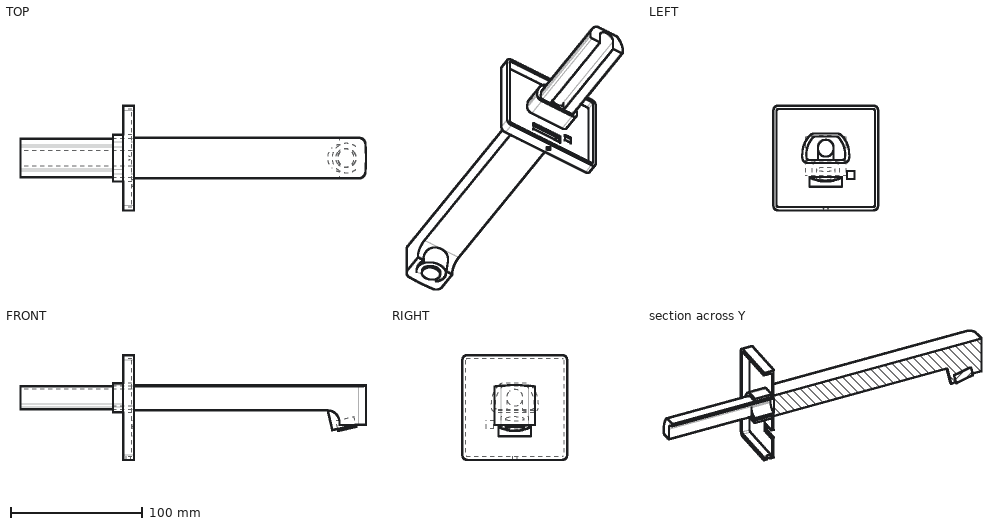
import cadquery as cq
import math


OVERALL_LENGTH = 263.5

FLANGE_SIDE = 80.0
FLANGE_THICKNESS = 8.5
FLANGE_CORNER_RADIUS = 4.0
FLANGE_LIP = 2.6
RECESS_DEPTH = 6.3
RECESS_CORNER_RADIUS = FLANGE_CORNER_RADIUS - FLANGE_LIP
FLOOR_THICKNESS = FLANGE_THICKNESS - RECESS_DEPTH
DRAIN_SLOT_WIDTH = 24.5
DRAIN_SLOT_HEIGHT = 7.0
DRAIN_SLOT_Z = -18.2
POCKET_WIDTH = 5.5
POCKET_HEIGHT = 6.3
POCKET_DEPTH = 1.0
POCKET_Y = -19.0
POCKET_Z = -13.0
LIP_HOLE_DIAMETER = 3.2
LIP_HOLE_X = 4.0

SHANK_LENGTH = 78.3
SHANK_TOP = 16.3
SHANK_BOTTOM = -1.3
SHANK_HALF_WIDTH = 14.8
SHANK_SIDE_RADIUS = 19.0
SHANK_TOP_FILLET = 2.0
SHANK_BOTTOM_FILLET = 1.5
COLLAR_LENGTH = 8.0
COLLAR_TOP = 18.7
COLLAR_BOTTOM = -3.7
COLLAR_HALF_WIDTH = 18.0
COLLAR_SIDE_RADIUS = 20.5
COLLAR_TOP_FILLET = 5.0
COLLAR_BOTTOM_FILLET = 4.2
SIDE_ARC_Z = 3.0

CHANNEL_WIDTH = 11.9
CHANNEL_TOP = 14.0
WATERWAY_BOTTOM = 1.0

SPOUT_REACH = OVERALL_LENGTH - SHANK_LENGTH
SPOUT_WIDTH = 31.0
SPOUT_CROWN = 17.0
SPOUT_TOP_EDGE = 16.0
SPOUT_UNDERSIDE = -2.0
SPOUT_NOSE_BOTTOM = -13.2
SPOUT_NOSE_BACK = 165.0
SPOUT_COVE_RADIUS = 9.2
SPOUT_CORNER_RADIUS = 5.3
SPOUT_END_BULGE = 0.8

OUTLET_TILT = 13
OUTLET_X = 170.5
OUTLET_Z = -14.8
OUTLET_RADIUS = 11.3
OUTLET_LENGTH = 17.0
AERATOR_RADIUS = 7.0
AERATOR_LENGTH = 8.0
AERATOR_PROTRUSION = 1.5


def yz_plane(x):
    """Sketch plane across the shank: local x is +Y, local y is +Z, normal is +X."""
    return cq.Workplane("YZ", origin=(x, 0, 0))


def arched_bar(x_start, length, top, bottom, half_width, side_radius, top_fillet, bottom_fillet):
    """Bar with a flat top and bottom whose upper sides are arcs tangent to the upright lower sides."""
    arc_centre = half_width - side_radius
    top_y = arc_centre + math.sqrt(side_radius**2 - (top - SIDE_ARC_Z)**2)
    half_angle = math.asin((top - SIDE_ARC_Z) / side_radius) / 2
    mid_y = arc_centre + side_radius * math.cos(half_angle)
    mid_z = SIDE_ARC_Z + side_radius * math.sin(half_angle)
    bar = (
        yz_plane(x_start)
        .moveTo(-top_y, top)
        .lineTo(top_y, top)
        .threePointArc((mid_y, mid_z), (half_width, SIDE_ARC_Z))
        .lineTo(half_width, bottom)
        .lineTo(-half_width, bottom)
        .lineTo(-half_width, SIDE_ARC_Z)
        .threePointArc((-mid_y, mid_z), (-top_y, top))
        .close()
        .extrude(length)
    )
    bar = bar.edges("|X and >Z").fillet(top_fillet)
    return bar.edges("|X and <Z").fillet(bottom_fillet)


def shank_bar():
    """Shank envelope from its rear end to the spout's rear face."""
    return arched_bar(
        -SHANK_LENGTH, SHANK_LENGTH + FLANGE_THICKNESS, SHANK_TOP, SHANK_BOTTOM,
        SHANK_HALF_WIDTH, SHANK_SIDE_RADIUS, SHANK_TOP_FILLET, SHANK_BOTTOM_FILLET,
    )


def make_shank():
    """Shank with a round-topped channel open below, then a waterway up to the spout."""
    channel_radius = CHANNEL_WIDTH / 2
    channel_length = SHANK_LENGTH - COLLAR_LENGTH
    arc_z = CHANNEL_TOP - channel_radius
    channel = (
        yz_plane(-SHANK_LENGTH)
        .moveTo(-channel_radius, SHANK_BOTTOM)
        .lineTo(-channel_radius, arc_z)
        .threePointArc((0, CHANNEL_TOP), (channel_radius, arc_z))
        .lineTo(channel_radius, SHANK_BOTTOM)
        .close()
        .extrude(channel_length)
    )
    waterway = (
        yz_plane(-COLLAR_LENGTH)
        .center(0, (CHANNEL_TOP + WATERWAY_BOTTOM) / 2)
        .slot2D(CHANNEL_TOP - WATERWAY_BOTTOM, CHANNEL_WIDTH, 90)
        .extrude(COLLAR_LENGTH + FLANGE_THICKNESS)
    )
    return shank_bar().cut(channel).cut(waterway)


def make_collar():
    """Collar around the shank, seated on the floor of the flange recess."""
    collar = arched_bar(
        -COLLAR_LENGTH, COLLAR_LENGTH + RECESS_DEPTH, COLLAR_TOP, COLLAR_BOTTOM,
        COLLAR_HALF_WIDTH, COLLAR_SIDE_RADIUS, COLLAR_TOP_FILLET, COLLAR_BOTTOM_FILLET,
    )
    return collar.cut(shank_bar())


def make_flange():
    """Square flange with a rear recess, shank opening, drain slot, square pocket and lip hole."""
    recess_side = FLANGE_SIDE - 2 * FLANGE_LIP
    plate = yz_plane(0).rect(FLANGE_SIDE, FLANGE_SIDE).extrude(FLANGE_THICKNESS)
    plate = plate.edges("|X").fillet(FLANGE_CORNER_RADIUS)
    recess = yz_plane(0).rect(recess_side, recess_side).extrude(RECESS_DEPTH)
    recess = recess.edges("|X").fillet(RECESS_CORNER_RADIUS)
    drain_slot = (
        yz_plane(RECESS_DEPTH)
        .center(0, DRAIN_SLOT_Z)
        .rect(DRAIN_SLOT_WIDTH, DRAIN_SLOT_HEIGHT)
        .extrude(FLOOR_THICKNESS)
    )
    pocket = (
        yz_plane(RECESS_DEPTH)
        .center(POCKET_Y, POCKET_Z)
        .rect(POCKET_WIDTH, POCKET_HEIGHT)
        .extrude(POCKET_DEPTH)
    )
    lip_hole = (
        cq.Workplane("XY", origin=(LIP_HOLE_X, 0, -FLANGE_SIDE / 2))
        .circle(LIP_HOLE_DIAMETER / 2)
        .extrude(FLANGE_LIP)
    )
    return plate.cut(recess).cut(drain_slot).cut(pocket).cut(lip_hole).cut(shank_bar())


def outlet_cylinder(radius, end_offset, length):
    """Cylinder on the tilted outlet axis; its lower end is end_offset below the outlet mouth."""
    tilt = math.radians(OUTLET_TILT)
    down = cq.Vector(math.sin(tilt), 0, -math.cos(tilt))
    end = cq.Vector(OUTLET_X, 0, OUTLET_Z) + down * end_offset
    return cq.Workplane(cq.Solid.makeCylinder(radius, length, end, down * -1))


def make_aerator():
    """Aerator insert that stands a little proud of the outlet mouth."""
    return outlet_cylinder(AERATOR_RADIUS, AERATOR_PROTRUSION, AERATOR_LENGTH)


def make_spout():
    """Spout with a crowned top, a rounded nose, a coved step below and a tilted outlet."""
    half_width = SPOUT_WIDTH / 2
    corner_x = SPOUT_REACH - SPOUT_END_BULGE
    plan = (
        cq.Workplane("XY", origin=(0, 0, SPOUT_NOSE_BOTTOM))
        .moveTo(FLANGE_THICKNESS, -half_width)
        .lineTo(corner_x, -half_width)
        .threePointArc((SPOUT_REACH, 0), (corner_x, half_width))
        .lineTo(FLANGE_THICKNESS, half_width)
        .close()
        .extrude(SPOUT_CROWN - SPOUT_NOSE_BOTTOM)
        .edges("|Z")
        .edges(">X")
        .fillet(SPOUT_CORNER_RADIUS)
    )
    section = (
        yz_plane(FLANGE_THICKNESS)
        .moveTo(-half_width, SPOUT_NOSE_BOTTOM)
        .lineTo(half_width, SPOUT_NOSE_BOTTOM)
        .lineTo(half_width, SPOUT_TOP_EDGE)
        .threePointArc((0, SPOUT_CROWN), (-half_width, SPOUT_TOP_EDGE))
        .close()
        .extrude(SPOUT_REACH)
    )
    under_cut = (
        cq.Workplane("XZ", origin=(0, half_width, 0))
        .moveTo(FLANGE_THICKNESS, SPOUT_NOSE_BOTTOM)
        .lineTo(SPOUT_NOSE_BACK, SPOUT_NOSE_BOTTOM)
        .lineTo(SPOUT_NOSE_BACK, SPOUT_UNDERSIDE - SPOUT_COVE_RADIUS)
        .radiusArc((SPOUT_NOSE_BACK - SPOUT_COVE_RADIUS, SPOUT_UNDERSIDE), -SPOUT_COVE_RADIUS)
        .lineTo(FLANGE_THICKNESS, SPOUT_UNDERSIDE)
        .close()
        .extrude(SPOUT_WIDTH)
    )
    outlet = outlet_cylinder(OUTLET_RADIUS, 0, OUTLET_LENGTH)
    return plan.intersect(section).cut(under_cut).union(outlet).cut(make_aerator())


flange = make_flange()
shank = make_shank()
collar = make_collar()
spout = make_spout()
aerator = make_aerator()

result = cq.Compound.makeCompound(
    [body.solids().val() for body in (flange, shank, collar, spout, aerator)]
)